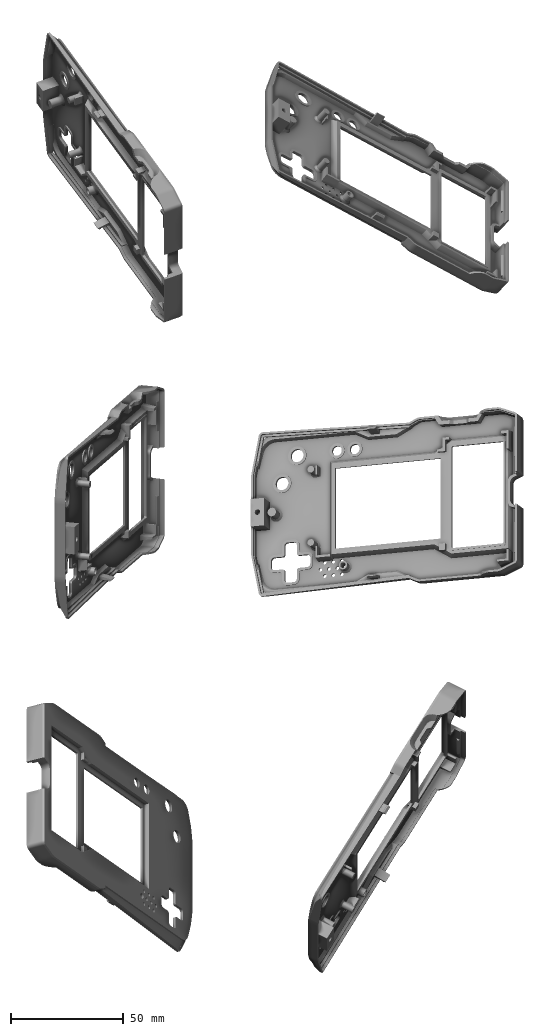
import cadquery as cq
import math

OUTER_Y = 4.53
OPEN_Y = -4.53
SHEET = 0.9
FACE_EDGE = 0.3
FLOOR_Y = OUTER_Y - SHEET
RIM_Y = -0.5
POST_TIP_Y = -2.5

LENGTH = 127.5
HEIGHT = 76.0
LEFT_X = -LENGTH / 2
RIGHT_X = LENGTH / 2
TOP_Z = HEIGHT / 2
LEFT_FLAT = 18.4
LEFT_CORNER_X = -59.8
WAIST_X = 11.0
WAIST_Z = 36.0
SHOULDER_X = 15.3
SLANT_X = 55.2
SLANT_END_Z = 34.5
LEFT_BEND = 12.8
LEFT_CORNER = 1.9
SHOULDER_BEND = 5.1
RIGHT_CORNER = 1.9
LIP = 0.9
WALL = 1.1
SIDE_WALL = 1.8
END_WALL = 1.7
SHALLOW_LIP_STEP = 1.3
END_LIP_Y = -2.49

BEZEL_Y = 1.3
BEZEL_SLOPE = 1.5
PAD_COLLAR = 1.1
BOSS = 0.5

MIC_X = -20.3
MIC_Z = -27.0
SOUND_PITCH = 4.02
SOUND_ROW = 3.12
SOUND_HOLE = 1.7
MIC_BORE = 2.5
MIC_TIP_Y = -0.3

STRAP_HOLE_Y = 0.0

GRIP_X = 58.8
GRIP_WALL = 1.0
GRIP_WALL_Y = 0.3


def plane(y):
    """Workplane at depth y with local axes X and Z; positive extrusion runs toward -Y."""
    return cq.Workplane("XZ", origin=(0, y, 0))


def prism(points, y_start, y_end):
    return plane(y_start).polyline(points).close().extrude(y_start - y_end)


def block(x_min, x_max, z_min, z_max, y_start, y_end):
    corners = [(x_min, z_min), (x_max, z_min), (x_max, z_max), (x_min, z_max)]
    return prism(corners, y_start, y_end)


def disc(x, z, diameter, y_start, y_end):
    return plane(y_start).center(x, z).circle(diameter / 2).extrude(y_start - y_end)


def symmetric(upper):
    """Close an upper chain of points with its mirror image below the X axis."""
    return upper + [(x, -z) for x, z in reversed(upper)]


def both_sides(body):
    """The body together with its mirror image below the X axis."""
    return body.union(body.mirror("XY"))


def outline_solid(inset, y_start, y_end):
    """Solid with the outline of the housing, shrunk all round by the inset."""
    upper = [
        (LEFT_X, LEFT_FLAT),
        (LEFT_CORNER_X, TOP_Z),
        (WAIST_X, WAIST_Z),
        (SHOULDER_X, TOP_Z),
        (SLANT_X, TOP_Z),
        (RIGHT_X, SLANT_END_Z),
    ]
    chain = plane(y_start).polyline(symmetric(upper)).close()
    if inset:
        chain = chain.offset2D(-inset, "intersection")
    solid = chain.extrude(y_start - y_end)
    solid = solid.edges("|Y and <X").fillet(LEFT_BEND)
    rounded = [
        (LEFT_CORNER_X, TOP_Z, LEFT_CORNER),
        (SHOULDER_X, TOP_Z, SHOULDER_BEND),
        (SLANT_X, TOP_Z, SHOULDER_BEND),
        (RIGHT_X, SLANT_END_Z, RIGHT_CORNER),
    ]
    for x, z, radius in rounded:
        if radius > inset:
            for corner_z in (z, -z):
                nearest = cq.selectors.NearestToPointSelector((x, y_start, corner_z))
                solid = solid.edges("|Y").edges(nearest).fillet(radius - inset)
    return solid


def shallow_rim_cut():
    """Everything below the shallow rim; an S-curve leads down to the deep right end."""
    low = OPEN_Y - 1.3
    return (
        cq.Workplane("XY", origin=(0, 0, -HEIGHT))
        .moveTo(LEFT_X - 1.3, RIM_Y)
        .lineTo(45.0, RIM_Y)
        .threePointArc((47.2, -2.9), (50.2, OPEN_Y))
        .lineTo(50.2, low)
        .lineTo(LEFT_X - 1.3, low)
        .close()
        .extrude(2 * HEIGHT)
    )


def rim():
    """Open tray: face sheet, stepped rim and deep right end."""
    outer = outline_solid(0, OUTER_Y, OPEN_Y)
    outer = outer.faces(">Y").edges().chamfer(FACE_EDGE, SHEET)
    wall_zone = block(-61.2, WAIST_X, -HEIGHT, HEIGHT, FLOOR_Y, OPEN_Y)
    end_zone = block(RIGHT_X - END_WALL, RIGHT_X, -HEIGHT, HEIGHT, FLOOR_Y, OPEN_Y)
    cavity = outline_solid(WALL, FLOOR_Y, OPEN_Y).cut(end_zone)
    cavity = cavity.cut(wall_zone.cut(outline_solid(SIDE_WALL, FLOOR_Y, OPEN_Y)))
    lip_recess = outline_solid(LIP, END_LIP_Y, OPEN_Y)
    shallow_recess = outline_solid(LIP, RIM_Y + SHALLOW_LIP_STEP, OPEN_Y)
    shallow_recess = shallow_recess.intersect(block(LEFT_X, 45.0, -HEIGHT, HEIGHT, OUTER_Y, OPEN_Y))
    return outer.cut(cavity).cut(lip_recess).cut(shallow_recess).cut(shallow_rim_cut())


def bevel_cut():
    """Material outside the sloped bevel around the left corners and the narrowing sides."""
    depth = 3.0
    slope = 0.77
    start_x, start_z = -54.2, 34.4
    corner_x, corner_z = -60.3, 30.0
    middle_x, middle_z = -58.5, 32.9
    foot_x, foot_z = LEFT_X - 1.3, 16.6
    end_x = WAIST_X + 6.4

    def face(y):
        return (
            plane(y)
            .moveTo(end_x, start_z)
            .lineTo(start_x, start_z)
            .threePointArc((middle_x, middle_z), (corner_x, corner_z))
            .lineTo(foot_x, foot_z)
            .lineTo(foot_x, -foot_z)
            .lineTo(corner_x, -corner_z)
            .threePointArc((middle_x, -middle_z), (start_x, -start_z))
            .lineTo(end_x, -start_z)
            .close()
        )

    bevel_angle = math.degrees(math.atan(1 / slope))
    kept = face(FLOOR_Y).extrude(depth, taper=-bevel_angle).union(face(OUTER_Y).extrude(SHEET))
    return block(LEFT_X - 1.3, WAIST_X, -HEIGHT, HEIGHT, OUTER_Y, FLOOR_Y - depth).cut(kept)


def side_ledge():
    """Raised ledge inside the upper rim, with a sloped inner flank."""
    height = 1.7
    flank = 1.0
    outside_z = TOP_Z + 3.8
    slab = (
        plane(FLOOR_Y)
        .moveTo(-68.8, 21.7)
        .lineTo(-61.2, 22.3)
        .lineTo(-59.4, 28.7)
        .threePointArc((-57.6, 32.1), (-53.5, 33.9))
        .lineTo(-15.7, 33.9)
        .lineTo(-9.4, 30.9)
        .lineTo(4.5, 30.9)
        .lineTo(11.5, 34.4)
        .lineTo(16.6, outside_z)
        .lineTo(-68.8, outside_z)
        .close()
        .extrude(height, taper=math.degrees(math.atan(flank / height)))
    )
    return slab.intersect(outline_solid(LIP, FLOOR_Y, OPEN_Y))


def bezel_outline(inset):
    """Plan of the bezel: low around the main window, higher around the small one."""
    low_z = 22.6 - inset
    high_z = 27.5 - inset
    return symmetric([
        (-27.8 + inset, low_z),
        (21.8 + inset / 2, low_z),
        (29.8 + inset / 2, high_z),
        (59.0 - inset, high_z),
    ])


def bezel():
    """Raised plateau with sloped sides around both windows."""
    base = cq.Wire.makePolygon([cq.Vector(x, FLOOR_Y, z) for x, z in bezel_outline(0)], close=True)
    crown = cq.Wire.makePolygon([cq.Vector(x, BEZEL_Y, z) for x, z in bezel_outline(BEZEL_SLOPE)], close=True)
    return cq.Workplane(cq.Solid.makeLoft([base, crown], True))


def lens_recess():
    """Outer recess that leaves the plateau one sheet thick."""
    return prism(bezel_outline(BEZEL_SLOPE), OUTER_Y, BEZEL_Y + SHEET)


def small_window_frame():
    return small_window(1.0, BEZEL_Y, BEZEL_Y - 0.3)


def small_window(margin, y_start, y_end):
    window = block(30.7 - margin, 55.3 + margin, -23.6 - margin, 23.6 + margin, y_start, y_end)
    return window.edges("|Y").fillet(0.6 + margin / 2)


def main_window():
    return block(-24.5, 25.5, -18.6, 18.6, OUTER_Y, OPEN_Y)


BUTTONS = [
    (-43.2, 26.6, 6.0, 8.5),
    (-50.4, 14.4, 6.0, 8.5),
    (-24.4, 27.2, 4.6, 7.0),
    (-16.0, 27.2, 4.6, 7.0),
]


def pad_cross(margin, y_start, y_end):
    """Cross of the direction pad, widened all round by the margin."""
    pad_x, pad_z = -46.3, -22.5
    reach = 9.3 + margin
    half = 2.9 + margin
    wide = block(pad_x - reach, pad_x + reach, pad_z - half, pad_z + half, y_start, y_end)
    tall = block(pad_x - half, pad_x + half, pad_z - reach, pad_z + reach, y_start, y_end)
    arm_radius = 1.5 + margin
    inner_radius = 1.0
    cross = wide.edges("|Y").fillet(arm_radius).union(tall.edges("|Y").fillet(arm_radius))
    box = half + 0.1
    inner = cq.selectors.BoxSelector(
        (pad_x - box, OPEN_Y, pad_z - box), (pad_x + box, OUTER_Y, pad_z + box))
    return cross.edges("|Y").edges(inner).fillet(inner_radius)


def sound_holes():
    places = [(MIC_X - SOUND_PITCH * i, MIC_Z) for i in range(1, 4)]
    for row in (-1, 1):
        places += [(MIC_X - SOUND_PITCH * (i + 0.5), MIC_Z + row * SOUND_ROW) for i in range(3)]
    holes = plane(OUTER_Y).pushPoints(places).circle(SOUND_HOLE / 2).extrude(SHEET)
    return holes.union(disc(MIC_X, MIC_Z, MIC_BORE, OUTER_Y, FLOOR_Y))


def drafted_rib(x_min, x_max, z_thin, z_mid, z_foot, tip_y):
    """Horizontal rib: straight on z_thin, its other flank running out from z_mid to z_foot."""
    profile = [(FLOOR_Y, z_thin), (tip_y, z_thin), (tip_y, z_mid), (FLOOR_Y, z_foot)]
    return cq.Workplane("YZ", origin=(x_min, 0, 0)).polyline(profile).close().extrude(x_max - x_min)


def locating_ribs():
    """Ribs that hold the corners of the display."""
    left, right, thick = -33.3, 58.0, 0.9
    low_tip, high_tip = -0.5, -2.4
    ribs = drafted_rib(left, -26.3, -21.4, -22.5, -23.3, low_tip)
    ribs = ribs.union(block(left, left + thick, -22.5, -17.1, FLOOR_Y, low_tip))
    ribs = ribs.union(block(left, left + thick, 16.1, 20.3, FLOOR_Y, low_tip))
    ribs = ribs.union(drafted_rib(55.3, right + thick, 26.3, 27.5, 28.4, high_tip))
    ribs = ribs.union(block(right, right + thick, 19.0, 27.5, FLOOR_Y, high_tip))
    ribs = ribs.union(drafted_rib(53.4, right + thick, -31.9, -32.8, -34.0, high_tip))
    ribs = ribs.union(block(right, right + thick, -32.8, -27.5, FLOOR_Y, high_tip))
    return ribs


def bezel_stops():
    """Stepped rib above and square peg below, between the two windows."""
    step = [(24.5, 21.2), (28.2, 21.2), (28.2, 26.4), (30.0, 26.4),
            (30.0, 27.5), (26.9, 27.5), (26.9, 22.3), (24.5, 22.3)]
    stops = prism(step, FLOOR_Y, RIM_Y)
    return stops.union(block(25.2, 28.2, -24.5, -21.4, FLOOR_Y, RIM_Y))


def snap_hook():
    """Snap hook on the upper side, with its barb pointing outward."""
    profile = [
        (FLOOR_Y, 32.5),
        (-3.7, 33.9),
        (-3.7, 34.3),
        (-2.8, 34.9),
        (-2.4, 34.9),
        (-2.0, 34.4),
        (FLOOR_Y, 34.4),
    ]
    return cq.Workplane("YZ", origin=(-7.8, 0, 0)).polyline(profile).close().extrude(4.2)


def end_ridge():
    """Latching ridge inside the upper half of the right end wall."""
    wall_x = RIGHT_X - END_WALL
    profile = [(wall_x, -0.8), (wall_x - 0.9, -1.7), (wall_x - 0.8, -1.9), (wall_x, -2.4)]
    return cq.Workplane("XY", origin=(0, 0, 15.2)).polyline(profile).close().extrude(13.9)


def strap_block():
    """Block at the left end with a blind hole in its open side."""
    body = block(-62.5, -56.2, -6.4, 6.4, FLOOR_Y, OPEN_Y)
    return body.cut(disc(-59.3, 0, 2.5, STRAP_HOLE_Y, OPEN_Y))


def grip_cut(margin, y_start, y_end):
    """Tapered opening in the right end, widened all round by the margin."""
    half_low = 5.7 + margin
    half_high = 8.2 + margin
    floor_x = GRIP_X - margin
    shape = [(floor_x, half_low), (RIGHT_X + 1.3, half_high), (RIGHT_X + 1.3, -half_high), (floor_x, -half_low)]
    return prism(shape, y_start, y_end).edges("|Y and <X").fillet(2.5)


def grip_wall():
    return grip_cut(GRIP_WALL, FLOOR_Y, GRIP_WALL_Y).intersect(outline_solid(LIP, FLOOR_Y, OPEN_Y))


def scoop_wall():
    return prism([(23.2, 37.1), (25.4, 33.7), (43.7, 33.7), (45.9, 37.1)], FLOOR_Y, RIM_Y)


def scoop_cut():
    """Rounded finger scoop sloping into the upper side, with a slot through its wall."""
    middle_x = 34.8
    half_floor = 5.1
    inner_z = 35.3
    low_y = RIM_Y - 0.1

    def section(work, half_low, half_bend, bend_y, top_y):
        return (
            work.moveTo(middle_x - half_low, low_y)
            .threePointArc((middle_x - half_bend, bend_y), (middle_x - half_floor, top_y))
            .lineTo(middle_x + half_floor, top_y)
            .threePointArc((middle_x + half_bend, bend_y), (middle_x + half_low, low_y))
            .close()
        )

    scoop = section(cq.Workplane("XY", origin=(0, 0, inner_z)), 8.2, 7.1, 1.3, 2.2)
    scoop = section(scoop.workplane(offset=TOP_Z - inner_z), 10.0, 8.4, 2.9, 4.2).loft(ruled=True)
    slot = (
        cq.Workplane("XY", origin=(middle_x, 0, inner_z - 2.5))
        .polyline([(-4.7, low_y), (-3.2, 0.9), (3.0, 0.9), (4.6, low_y)])
        .close()
        .extrude(3.2)
    )
    return scoop.union(slot)


def make_housing():
    housing = rim().union(both_sides(side_ledge())).cut(bevel_cut())
    housing = housing.union(bezel()).cut(lens_recess())
    housing = housing.union(small_window_frame())
    housing = housing.union(scoop_wall()).cut(scoop_cut())
    housing = housing.union(grip_wall())
    for x, z, _, collar in BUTTONS:
        housing = housing.union(disc(x, z, collar, FLOOR_Y, FLOOR_Y - BOSS))
    housing = housing.union(pad_cross(PAD_COLLAR, FLOOR_Y, FLOOR_Y - BOSS))
    housing = housing.union(locating_ribs()).union(bezel_stops())
    housing = housing.union(both_sides(snap_hook())).union(both_sides(end_ridge()))
    housing = housing.union(strap_block())
    housing = housing.cut(main_window()).cut(small_window(0, OUTER_Y, OPEN_Y))
    housing = housing.cut(grip_cut(0, OUTER_Y, OPEN_Y))
    for x, z, hole, _ in BUTTONS:
        housing = housing.cut(disc(x, z, hole, OUTER_Y, OPEN_Y))
    housing = housing.cut(pad_cross(0, OUTER_Y, OPEN_Y)).cut(sound_holes())
    return housing


def make_post(x, z, diameter, flare, tip_y):
    """Round post standing on the sheet with a conical foot."""
    radius = diameter / 2
    profile = [
        (0, FLOOR_Y),
        (radius + flare, FLOOR_Y),
        (radius, FLOOR_Y - flare),
        (radius, tip_y),
        (0, tip_y),
    ]
    turned = cq.Workplane("XY").polyline(profile).close().revolve(360, (0, 0, 0), (0, 1, 0))
    return turned.translate((x, 0, z))


def make_tube():
    tube = make_post(MIC_X, MIC_Z, 4.0, 0.8, MIC_TIP_Y)
    return tube.cut(disc(MIC_X, MIC_Z, MIC_BORE, FLOOR_Y, MIC_TIP_Y))


POSTS = [
    (-34.7, 18.1, 3.0, 0.8),
    (-34.7, -15.8, 3.0, 0.8),
    (-53.2, 0, 4.0, 0.9),
]

posts = [make_post(x, z, diameter, flare, POST_TIP_Y) for x, z, diameter, flare in POSTS]
tube = make_tube()
housing = make_housing()
for post in posts:
    housing = housing.cut(post)
result = cq.Compound.makeCompound([housing.val(), *[post.val() for post in posts], tube.val()])